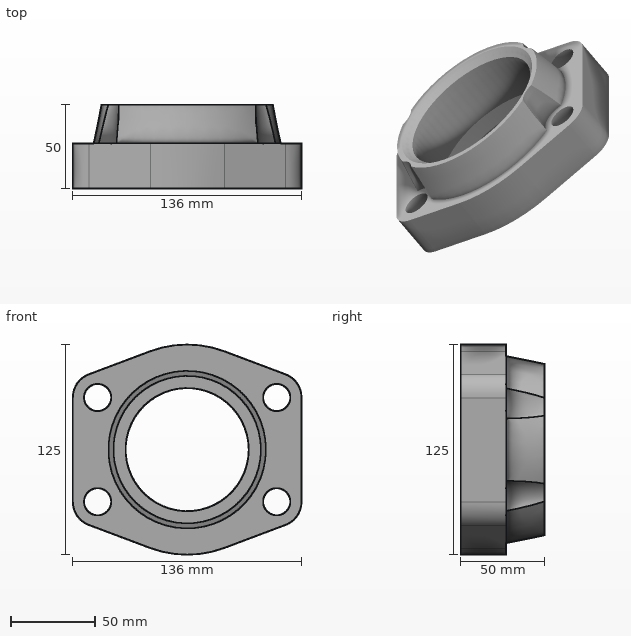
import cadquery as cq
import math

PLATE_THICKNESS = 27.0
PLATE_HALF_WIDTH = 68.0
CROWN_RADIUS = 62.5

BOLT_X = 53.2
BOLT_Z = 30.95
BOLT_HOLE_DIAMETER = 16.0
BOLT_HEAD_CLEARANCE_DIAMETER = 25.0

OVERALL_LENGTH = 50.0
HUB_BASE_RADIUS = 55.6
HUB_END_RADIUS = 51.0

BORE_RADIUS = 36.5
SOCKET_RADIUS = 43.0
BORE_LAND_LENGTH = 9.0
END_CHAMFER = 4.5
GROOVE_INNER_RADIUS = 43.8
GROOVE_OUTER_RADIUS = 46.8
GROOVE_DEPTH = 2.5

CORNER_RADIUS = PLATE_HALF_WIDTH - BOLT_X
BOLT_CIRCLE_RADIUS = math.hypot(BOLT_X, BOLT_Z)
BOLT_ANGLE = math.atan2(BOLT_X, BOLT_Z)
EDGE_TILT = BOLT_ANGLE - math.acos((CROWN_RADIUS - CORNER_RADIUS) / BOLT_CIRCLE_RADIUS)

HUB_LENGTH = OVERALL_LENGTH - PLATE_THICKNESS
BOLT_POINTS = [(sx * BOLT_X, sz * BOLT_Z) for sx in (-1, 1) for sz in (-1, 1)]


def arc_point(center_x, center_z, radius, angle_from_z):
    """Point on an arc, its angle measured from +Z toward +X."""
    return (
        center_x + radius * math.sin(angle_from_z),
        center_z + radius * math.cos(angle_from_z),
    )


def mirrored(point, sign_x, sign_z):
    return (sign_x * point[0], sign_z * point[1])


def plane_at(y):
    """XZ sketch plane at the given Y; a negative extrusion grows toward +Y."""
    return cq.Workplane("XZ", origin=(0, y, 0))


def make_plate():
    crown_end = arc_point(0, 0, CROWN_RADIUS, EDGE_TILT)
    corner_start = arc_point(BOLT_X, BOLT_Z, CORNER_RADIUS, EDGE_TILT)
    corner_mid = arc_point(BOLT_X, BOLT_Z, CORNER_RADIUS, (EDGE_TILT + math.pi / 2) / 2)
    side_end = (PLATE_HALF_WIDTH, BOLT_Z)

    outline = plane_at(0).moveTo(*mirrored(crown_end, -1, 1))
    for s in (1, -1):
        outline = (
            outline
            .threePointArc((0, s * CROWN_RADIUS), mirrored(crown_end, s, s))
            .lineTo(*mirrored(corner_start, s, s))
            .threePointArc(mirrored(corner_mid, s, s), mirrored(side_end, s, s))
            .lineTo(*mirrored(side_end, s, -s))
            .threePointArc(mirrored(corner_mid, s, -s), mirrored(corner_start, s, -s))
            .lineTo(*mirrored(crown_end, s, -s))
        )
    return outline.close().extrude(-PLATE_THICKNESS)


def revolve_about_y(profile):
    """Solid of revolution about Y from (radius, y) points."""
    return cq.Workplane("XY").polyline(profile).close().revolve(360, (0, 0, 0), (0, 1, 0))


def make_hub():
    cone = revolve_about_y([
        (0, PLATE_THICKNESS),
        (HUB_BASE_RADIUS, PLATE_THICKNESS),
        (HUB_END_RADIUS, OVERALL_LENGTH),
        (0, OVERALL_LENGTH),
    ])
    bolt_head_clearance = (
        plane_at(PLATE_THICKNESS)
        .pushPoints(BOLT_POINTS)
        .circle(BOLT_HEAD_CLEARANCE_DIAMETER / 2)
        .extrude(-HUB_LENGTH)
    )
    return cone.cut(bolt_head_clearance)


def make_bore():
    """Front land, 45 degree step to the wider socket, and a chamfer at the hub end."""
    step = SOCKET_RADIUS - BORE_RADIUS
    return revolve_about_y([
        (0, 0),
        (BORE_RADIUS, 0),
        (BORE_RADIUS, BORE_LAND_LENGTH),
        (SOCKET_RADIUS, BORE_LAND_LENGTH + step),
        (SOCKET_RADIUS, OVERALL_LENGTH - END_CHAMFER),
        (SOCKET_RADIUS + END_CHAMFER, OVERALL_LENGTH),
        (0, OVERALL_LENGTH),
    ])


def make_seal_groove():
    return plane_at(0).circle(GROOVE_OUTER_RADIUS).circle(GROOVE_INNER_RADIUS).extrude(-GROOVE_DEPTH)


def make_bolt_holes():
    return plane_at(0).pushPoints(BOLT_POINTS).circle(BOLT_HOLE_DIAMETER / 2).extrude(-PLATE_THICKNESS)


result = (
    make_plate()
    .union(make_hub())
    .cut(make_bore())
    .cut(make_seal_groove())
    .cut(make_bolt_holes())
)